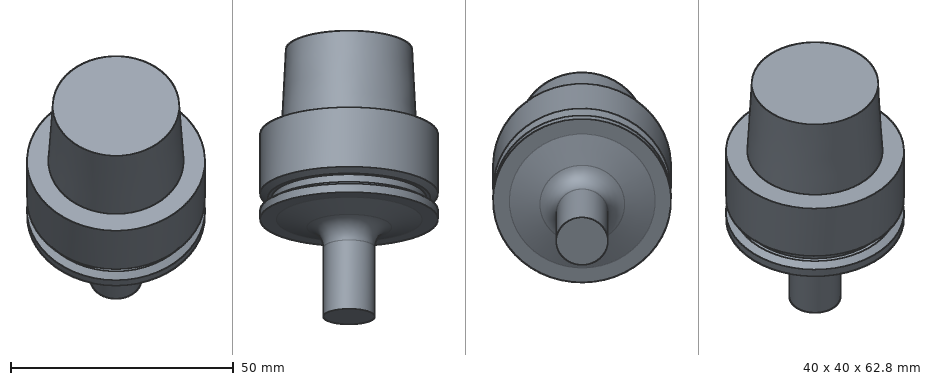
import cadquery as cq
import math


taper_base_diameter = 30.4
taper_ratio = 0.1
taper_height = 19.9
taper_top_diameter = taper_base_diameter - taper_ratio * taper_height

flange_diameter = 39.95
flange_thickness = 20.0
groove_diameter = 34.75
groove_mouth_top = 14.0
groove_mouth_width = 4.0
groove_bevel_height = 1.0
groove_bevel_angle = 60.0

total_height = 62.82
shank_diameter = 11.6
cone_top_diameter = 32.7
cone_slope = 15.0
blend_radius = 5.0

flange_radius = flange_diameter / 2
shank_radius = shank_diameter / 2
cone_top_radius = cone_top_diameter / 2
shank_bottom = taper_height - total_height


def make_spigot():
    """Truncated cone standing on the upper face of the flange."""
    return (
        cq.Workplane("XZ")
        .lineTo(taper_base_diameter / 2, 0)
        .lineTo(taper_top_diameter / 2, taper_height)
        .lineTo(0, taper_height)
        .close()
        .revolve(360, (0, 0), (0, 1))
    )


def make_flange():
    """Disc with a gripper groove whose mouth is bevelled on both edges."""
    groove_radius = groove_diameter / 2
    bevel_width = groove_bevel_height * math.tan(math.radians(groove_bevel_angle))
    bevel_radius = flange_radius - bevel_width
    mouth_top = -groove_mouth_top
    mouth_bottom = mouth_top - groove_mouth_width
    floor_top = mouth_top - groove_bevel_height
    floor_bottom = mouth_bottom + groove_bevel_height
    return (
        cq.Workplane("XZ")
        .lineTo(flange_radius, 0)
        .lineTo(flange_radius, mouth_top)
        .lineTo(bevel_radius, floor_top)
        .lineTo(groove_radius, floor_top)
        .lineTo(groove_radius, floor_bottom)
        .lineTo(bevel_radius, floor_bottom)
        .lineTo(flange_radius, mouth_bottom)
        .lineTo(flange_radius, -flange_thickness)
        .lineTo(0, -flange_thickness)
        .close()
        .revolve(360, (0, 0), (0, 1))
    )


def make_shank():
    """Shallow cone that runs through a tangent arc into the cylindrical shank."""
    slope = math.radians(cone_slope)
    blend_top_radius = shank_radius + blend_radius * (1 - math.sin(slope))
    cone_drop = (cone_top_radius - blend_top_radius) * math.tan(slope)
    blend_top = -flange_thickness - cone_drop
    blend_bottom = blend_top - blend_radius * math.cos(slope)

    middle_angle = (math.pi / 2 - slope) / 2
    middle_radius = shank_radius + blend_radius * (1 - math.cos(middle_angle))
    middle_height = blend_bottom + blend_radius * math.sin(middle_angle)
    return (
        cq.Workplane("XZ")
        .moveTo(0, -flange_thickness)
        .lineTo(cone_top_radius, -flange_thickness)
        .lineTo(blend_top_radius, blend_top)
        .threePointArc((middle_radius, middle_height), (shank_radius, blend_bottom))
        .lineTo(shank_radius, shank_bottom)
        .lineTo(0, shank_bottom)
        .close()
        .revolve(360, (0, 0), (0, 1))
    )


result = make_flange().union(make_spigot()).union(make_shank())